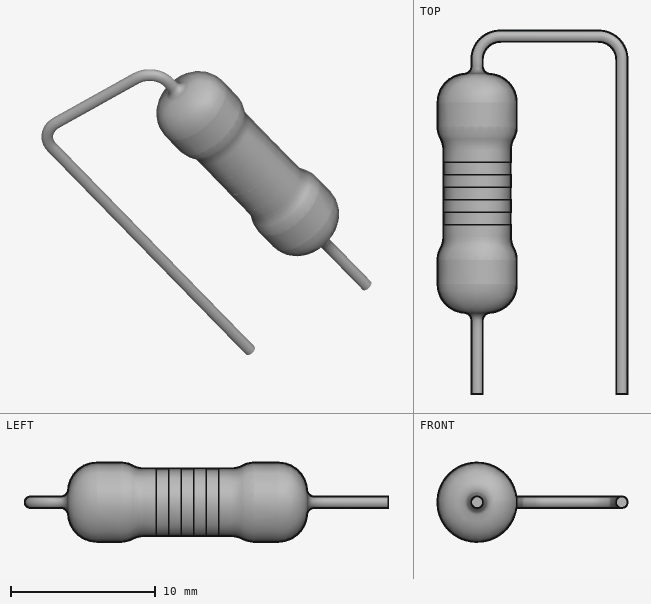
import cadquery as cq
import math


wire_diameter = 0.8
lead_pitch = 10.0
total_length = 25.1
bend_radius = 1.6

body_center_y = 13.85
body_length = 16.52
cap_diameter = 5.5
cap_corner_radius = 2.0
cap_straight_length = 1.65
lead_fillet_radius = 0.5

waist_diameter = 4.67
band_diameter = 4.7
band_count = 4
banded_length = 6.05

wire_radius = wire_diameter / 2
cap_radius = cap_diameter / 2
waist_radius = waist_diameter / 2
band_radius = band_diameter / 2
half_body = body_length / 2
band_width = banded_length / (2 * band_count - 1)
band_pitch = 2 * band_width
half_bands = banded_length / 2
end_start = half_bands - band_width


def make_body_end():
    """End of the body on the +Y side, from its outermost band to the fillet onto the lead."""
    cap_corner_y = half_body - cap_corner_radius
    cap_corner_x = cap_radius - cap_corner_radius
    shoulder_y = cap_corner_y - cap_straight_length

    fillet_x = wire_radius + lead_fillet_radius
    center_distance = cap_corner_radius + lead_fillet_radius
    center_rise = math.sqrt(center_distance**2 - (fillet_x - cap_corner_x) ** 2)
    fillet_y = cap_corner_y + center_rise
    touch_share = cap_corner_radius / center_distance
    touch_x = cap_corner_x + touch_share * (fillet_x - cap_corner_x)
    touch_y = cap_corner_y + touch_share * center_rise

    shoulder_mid = ((band_radius + cap_radius) / 2, (half_bands + shoulder_y) / 2)

    profile = (
        cq.Workplane("XY")
        .moveTo(0, end_start)
        .lineTo(band_radius, end_start)
        .lineTo(band_radius, half_bands)
        .tangentArcPoint(shoulder_mid, relative=False)
        .tangentArcPoint((cap_radius, shoulder_y), relative=False)
        .lineTo(cap_radius, cap_corner_y)
        .tangentArcPoint((touch_x, touch_y), relative=False)
        .tangentArcPoint((wire_radius, fillet_y), relative=False)
        .lineTo(0, fillet_y)
        .close()
    )
    return profile.revolve(360, (0, 0, 0), (0, 1, 0))


def make_disc(center_y, radius, length):
    """Cylinder along Y on the body axis, centred at the given Y."""
    return (
        cq.Workplane("XZ", origin=(0, center_y + length / 2, 0))
        .circle(radius)
        .extrude(length)
    )


def make_body():
    """Waist with its inner bands, closed by a cap at each end."""
    body = make_disc(0, waist_radius, 2 * end_start)
    for index in range(1, band_count - 1):
        band_y = (index - (band_count - 1) / 2) * band_pitch
        body = body.union(make_disc(band_y, band_radius, band_width))
    end = make_body_end()
    body = body.union(end).union(end.mirror("XZ"))
    return body.translate((0, body_center_y, 0))


def make_wire():
    """One wire through the body, bent over at the top and brought back down."""
    top_y = total_length - wire_radius
    bend_y = top_y - bend_radius
    path = (
        cq.Workplane("XY")
        .lineTo(0, bend_y)
        .tangentArcPoint((bend_radius, top_y), relative=False)
        .lineTo(lead_pitch - bend_radius, top_y)
        .tangentArcPoint((lead_pitch, bend_y), relative=False)
        .lineTo(lead_pitch, 0)
    )
    return cq.Workplane("XZ").circle(wire_radius).sweep(path)


result = make_body().union(make_wire())